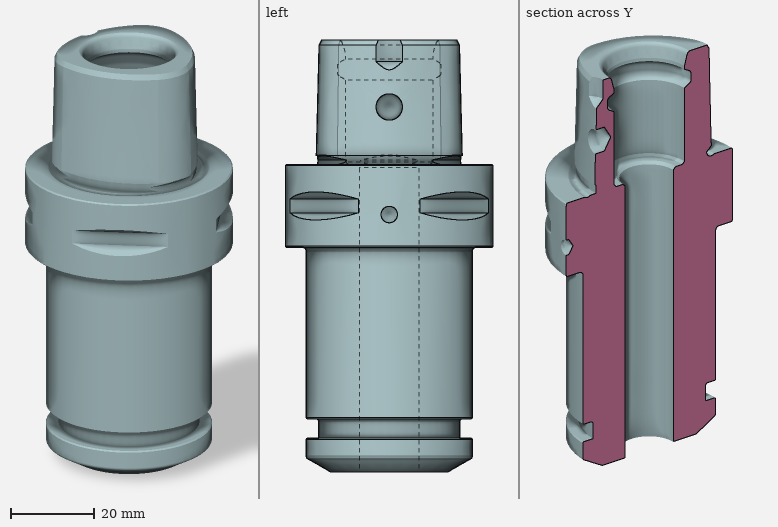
import cadquery as cq
import math

TOTAL_HEIGHT = 104.0
TAPER_LENGTH = 30.0
FLANGE_THICKNESS = 20.0
FLANGE_TOP = TOTAL_HEIGHT - TAPER_LENGTH
FLANGE_BOTTOM = FLANGE_TOP - FLANGE_THICKNESS

LOBE_CENTER_RADIUS = 8.5
SHANK_BASE_WIDTH = 35.2
TAPER_RATIO = 1 / 20
SHANK_BOTTOM = 76.2
SHANK_TIP_CHAMFER_HEIGHT = 1.2
SHANK_TIP_CHAMFER_INSET = 0.6
SHANK_NECK_INSET = 0.3

RELIEF_RADIUS = 17.3
RELIEF_OUTER_RADIUS = 19.5
RELIEF_ARC_RADIUS = 1.4
RELIEF_CONE_ANGLE = 50.0

FLANGE_RADIUS = 50.0 / 2
FLANGE_EDGE_CHAMFER = 0.3
BODY_RADIUS = 40.0 / 2
BODY_FILLET = 0.8
BODY_BOTTOM = 12.8
BODY_EDGE_CHAMFER = 0.3

NOSE_GROOVE_RADIUS = 34.0 / 2
NOSE_RING_TOP = 8.2
NOSE_CONE_HEIGHT = 3.4
NOSE_CONE_ANGLE = 60.0
NOSE_GROOVE_FILLET = 0.5
NOSE_FILLET = 0.8

THROUGH_RADIUS = 14.4 / 2
THROUGH_CHAMFER = 0.7
BORE_RADIUS = 21.0 / 2
BORE_DEPTH = TAPER_LENGTH
BORE_FLOOR_CHAMFER = 0.6
MOUTH_RADIUS = 24.0 / 2
MOUTH_CONE_RADIUS = 11.2
MOUTH_CONE_TOP = 0.9
MOUTH_CONE_ANGLE = 15.0
BORE_GROOVE_RADIUS = 25.0 / 2
BORE_GROOVE_MIDDLE = 7.1
BORE_GROOVE_WALL_HEIGHT = 1.6
BORE_GROOVE_FILLET = 1.0
BORE_GROOVE_FLANK_ANGLE = 60.0

SLOT_COUNT = 4
SLOT_FLOOR_DISTANCE = 22.2
SLOT_FLOOR_HEIGHT = 3.3
SLOT_FLARE = 0.6

KEY_NOTCH_DIAMETER = 7.7
KEY_NOTCH_INNER_X = -13.9
KEY_NOTCH_BOTTOM = 98.8
SHANK_DIMPLE_DIAMETER = 6.3
SHANK_DIMPLE_Z = 87.9
SHANK_DIMPLE_START = 13.5
FLANGE_DIMPLE_DIAMETER = 4.0
FLANGE_DIMPLE_Z = 62.0
FLANGE_DIMPLE_START = 24.1
DRILL_HALF_ANGLE = 59.0
NOTCH_HALF_ANGLE = 45.0


def polar(radius, degrees, center=(0.0, 0.0)):
    angle = math.radians(degrees)
    return (center[0] + radius * math.cos(angle), center[1] + radius * math.sin(angle))


def lobed_wire(width, z):
    """Constant-width outline: three lobe arcs joined by three tangent flank arcs."""
    lobe_radius = width / 2 - LOBE_CENTER_RADIUS * math.sqrt(3) / 2
    flank_radius = width - lobe_radius
    outline = cq.Workplane("XY", origin=(0, 0, z))
    outline = outline.moveTo(*polar(lobe_radius, -30, polar(LOBE_CENTER_RADIUS, 0)))
    for lobe_angle in (0, 120, 240):
        lobe_center = polar(LOBE_CENTER_RADIUS, lobe_angle)
        flank_angle = lobe_angle + 60
        flank_center = polar(LOBE_CENTER_RADIUS, flank_angle + 180)
        outline = outline.threePointArc(
            polar(lobe_radius, lobe_angle, lobe_center),
            polar(lobe_radius, lobe_angle + 30, lobe_center),
        )
        outline = outline.threePointArc(
            polar(flank_radius, flank_angle, flank_center),
            polar(flank_radius, flank_angle + 30, flank_center),
        )
    return outline.close().val()


def lobed_frustum(bottom_width, bottom_z, top_width, top_z):
    wires = [lobed_wire(bottom_width, bottom_z), lobed_wire(top_width, top_z)]
    return cq.Workplane(cq.Solid.makeLoft(wires, True))


def revolve(profile):
    return profile.close().revolve(360, (0, 0, 0), (0, 1, 0))


def make_shank():
    chamfer_z = TOTAL_HEIGHT - SHANK_TIP_CHAMFER_HEIGHT
    width_at_chamfer = SHANK_BASE_WIDTH - TAPER_RATIO * (chamfer_z - SHANK_BOTTOM)
    tip_width = width_at_chamfer - 2 * SHANK_TIP_CHAMFER_INSET
    neck_width = SHANK_BASE_WIDTH - 2 * SHANK_NECK_INSET
    taper = lobed_frustum(SHANK_BASE_WIDTH, SHANK_BOTTOM, width_at_chamfer, chamfer_z)
    tip = lobed_frustum(width_at_chamfer, chamfer_z, tip_width, TOTAL_HEIGHT)
    neck = lobed_frustum(neck_width, FLANGE_BOTTOM, neck_width, SHANK_BOTTOM)
    return neck.union(taper).union(tip)


def make_turned_body():
    cone_angle = math.radians(NOSE_CONE_ANGLE)
    cone_foot_radius = BODY_RADIUS - NOSE_CONE_HEIGHT * math.tan(cone_angle)
    nose_tangent = NOSE_FILLET * math.tan(cone_angle / 2)
    nose_fillet_start = (
        BODY_RADIUS - nose_tangent * math.sin(cone_angle),
        NOSE_CONE_HEIGHT - nose_tangent * math.cos(cone_angle),
    )
    fillet_mid = BODY_FILLET * (1 - math.sqrt(0.5))
    edge = BODY_EDGE_CHAMFER
    rim = FLANGE_EDGE_CHAMFER
    return revolve(
        cq.Workplane("XZ")
        .lineTo(cone_foot_radius, 0)
        .lineTo(*nose_fillet_start)
        .radiusArc((BODY_RADIUS, NOSE_CONE_HEIGHT + nose_tangent), -NOSE_FILLET)
        .lineTo(BODY_RADIUS, NOSE_RING_TOP - edge)
        .lineTo(BODY_RADIUS - edge, NOSE_RING_TOP)
        .lineTo(NOSE_GROOVE_RADIUS, NOSE_RING_TOP)
        .lineTo(NOSE_GROOVE_RADIUS, BODY_BOTTOM - NOSE_GROOVE_FILLET)
        .radiusArc((NOSE_GROOVE_RADIUS + NOSE_GROOVE_FILLET, BODY_BOTTOM), NOSE_GROOVE_FILLET)
        .lineTo(BODY_RADIUS - edge, BODY_BOTTOM)
        .lineTo(BODY_RADIUS, BODY_BOTTOM + edge)
        .lineTo(BODY_RADIUS, FLANGE_BOTTOM - BODY_FILLET)
        .threePointArc(
            (BODY_RADIUS + fillet_mid, FLANGE_BOTTOM - fillet_mid),
            (BODY_RADIUS + BODY_FILLET, FLANGE_BOTTOM),
        )
        .lineTo(FLANGE_RADIUS - rim, FLANGE_BOTTOM)
        .lineTo(FLANGE_RADIUS, FLANGE_BOTTOM + rim)
        .lineTo(FLANGE_RADIUS, FLANGE_TOP - rim)
        .lineTo(FLANGE_RADIUS - rim, FLANGE_TOP)
        .lineTo(0, FLANGE_TOP)
    )


def make_relief():
    """Ring groove in the flange top that also undercuts the feet of the lobes."""
    arc_center = RELIEF_RADIUS + RELIEF_ARC_RADIUS
    arc_rise = math.sqrt(RELIEF_ARC_RADIUS**2 - (RELIEF_OUTER_RADIUS - arc_center) ** 2)
    arc_center_z = FLANGE_TOP + arc_rise
    cone_width = RELIEF_OUTER_RADIUS - RELIEF_RADIUS
    cone_height = cone_width / math.tan(math.radians(RELIEF_CONE_ANGLE))
    return revolve(
        cq.Workplane("XZ")
        .moveTo(RELIEF_RADIUS, arc_center_z)
        .threePointArc(
            (arc_center, arc_center_z - RELIEF_ARC_RADIUS),
            (RELIEF_OUTER_RADIUS, FLANGE_TOP),
        )
        .lineTo(RELIEF_OUTER_RADIUS, arc_center_z + cone_height)
    )


def groove_points():
    """Upper half of the bore groove: radius and height above its middle, wall to bore."""
    wall_half = BORE_GROOVE_WALL_HEIGHT / 2
    flank = math.radians(BORE_GROOVE_FLANK_ANGLE)

    def on_fillet(turn):
        radius = BORE_GROOVE_RADIUS - BORE_GROOVE_FILLET * (1 - math.cos(turn))
        return (radius, wall_half + BORE_GROOVE_FILLET * math.sin(turn))

    fillet_end = on_fillet(flank)
    flank_height = (fillet_end[0] - BORE_RADIUS) / math.tan(flank)
    lip = (BORE_RADIUS, fillet_end[1] + flank_height)
    return (BORE_GROOVE_RADIUS, wall_half), on_fillet(flank / 2), fillet_end, lip


def make_bore():
    cone_height = (MOUTH_CONE_RADIUS - BORE_RADIUS) / math.tan(math.radians(MOUTH_CONE_ANGLE))
    chord = math.hypot(MOUTH_RADIUS - MOUTH_CONE_RADIUS, MOUTH_CONE_TOP)
    chord_angle = math.atan2(MOUTH_RADIUS - MOUTH_CONE_RADIUS, MOUTH_CONE_TOP)
    mouth_arc_radius = chord / (2 * math.sin(chord_angle - math.radians(MOUTH_CONE_ANGLE)))
    wall, fillet_mid, fillet_end, lip = groove_points()

    def at(radius, depth):
        return (radius, TOTAL_HEIGHT - depth)

    def above_groove_middle(point):
        return at(point[0], BORE_GROOVE_MIDDLE - point[1])

    def below_groove_middle(point):
        return at(point[0], BORE_GROOVE_MIDDLE + point[1])

    return revolve(
        cq.Workplane("XZ")
        .moveTo(*at(0, 0))
        .lineTo(*at(MOUTH_RADIUS, 0))
        .radiusArc(at(MOUTH_CONE_RADIUS, MOUTH_CONE_TOP), -mouth_arc_radius)
        .lineTo(*at(BORE_RADIUS, MOUTH_CONE_TOP + cone_height))
        .lineTo(*above_groove_middle(lip))
        .lineTo(*above_groove_middle(fillet_end))
        .threePointArc(above_groove_middle(fillet_mid), above_groove_middle(wall))
        .lineTo(*below_groove_middle(wall))
        .threePointArc(below_groove_middle(fillet_mid), below_groove_middle(fillet_end))
        .lineTo(*below_groove_middle(lip))
        .lineTo(*at(BORE_RADIUS, BORE_DEPTH - BORE_FLOOR_CHAMFER))
        .lineTo(*at(BORE_RADIUS - BORE_FLOOR_CHAMFER, BORE_DEPTH))
        .lineTo(*at(THROUGH_RADIUS + THROUGH_CHAMFER, BORE_DEPTH))
        .lineTo(*at(THROUGH_RADIUS, BORE_DEPTH + THROUGH_CHAMFER))
        .lineTo(*at(THROUGH_RADIUS, TOTAL_HEIGHT))
        .lineTo(*at(0, TOTAL_HEIGHT))
    )


def make_gripper_slots():
    """Straight flared slots, tangent to the flange, on its four diagonals."""
    depth = FLANGE_RADIUS - SLOT_FLOOR_DISTANCE
    floor_half = SLOT_FLOOR_HEIGHT / 2
    mouth_half = floor_half + SLOT_FLARE * depth
    middle_z = (FLANGE_TOP + FLANGE_BOTTOM) / 2
    slot = (
        cq.Workplane("XZ", origin=(0, 0, middle_z))
        .moveTo(SLOT_FLOOR_DISTANCE, -floor_half)
        .lineTo(FLANGE_RADIUS, -mouth_half)
        .lineTo(FLANGE_RADIUS, mouth_half)
        .lineTo(SLOT_FLOOR_DISTANCE, floor_half)
        .close()
        .extrude(FLANGE_RADIUS, both=True)
    )
    step = 360 / SLOT_COUNT
    slots = cq.Workplane()
    for index in range(SLOT_COUNT):
        slots = slots.add(slot.rotate((0, 0, 0), (0, 0, 1), step * (index + 0.5)))
    return slots.combine()


def make_drill(diameter, length, half_angle):
    """Drill standing on the origin: cylinder above z = 0, pointed tip below."""
    radius = diameter / 2
    tip_depth = radius / math.tan(math.radians(half_angle))
    return revolve(
        cq.Workplane("XZ")
        .moveTo(0, -tip_depth)
        .lineTo(radius, 0)
        .lineTo(radius, length)
        .lineTo(0, length)
    )


def make_side_dimple(diameter, start, z):
    """Drilled dimple entering from the -X side."""
    drill = make_drill(diameter, FLANGE_RADIUS - start, DRILL_HALF_ANGLE)
    return drill.rotate((0, 0, 0), (0, 1, 0), -90).translate((-start, 0, z))


def make_key_notch():
    """Vertical drilled notch that breaks out through the -X flank and the shank tip."""
    axis_x = KEY_NOTCH_INNER_X - KEY_NOTCH_DIAMETER / 2
    drill = make_drill(KEY_NOTCH_DIAMETER, TOTAL_HEIGHT - KEY_NOTCH_BOTTOM, NOTCH_HALF_ANGLE)
    return drill.translate((axis_x, 0, KEY_NOTCH_BOTTOM))


result = (
    make_turned_body()
    .union(make_shank())
    .cut(make_relief())
    .cut(make_bore())
    .cut(make_gripper_slots())
    .cut(make_key_notch())
    .cut(make_side_dimple(SHANK_DIMPLE_DIAMETER, SHANK_DIMPLE_START, SHANK_DIMPLE_Z))
    .cut(make_side_dimple(FLANGE_DIMPLE_DIAMETER, FLANGE_DIMPLE_START, FLANGE_DIMPLE_Z))
)